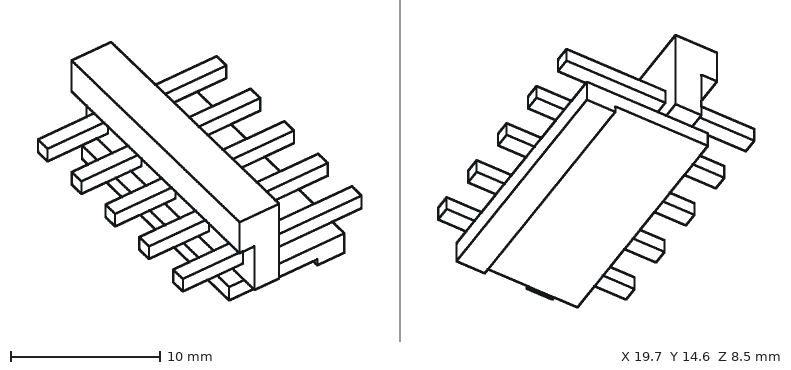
import cadquery as cq

housing_length = 19.74
overall_height = 8.5
wall_thickness = 2.01
lip_overhang = 1.22
lip_height = 2.8

plate_length = 17.3
plate_depth = 9.42
plate_thickness = 1.22
foot_depth = 2.21
foot_height = 0.53

pin_count = 5
pin_pitch = 3.97
pin_side = 1.15
pin_length = 14.6
pin_front_overhang = 3.7
pin_center_above_plate = 1.95

plate_top = foot_height + plate_thickness
wall_height = overall_height - plate_top
wall_rear = lip_overhang + wall_thickness


def block(length, depth, height, front, bottom, center_x=0.0):
    """Rectangular block centred on center_x, starting at front (Y) and bottom (Z)."""
    return (
        cq.Workplane("XY")
        .box(length, depth, height, centered=(True, False, False))
        .translate((center_x, front, bottom))
    )


def make_housing():
    wall = block(housing_length, wall_thickness, wall_height, lip_overhang, plate_top)
    lip = block(housing_length, wall_rear, lip_height, 0.0, overall_height - lip_height)
    return wall.union(lip)


def make_base():
    plate = block(plate_length, plate_depth, plate_thickness, 0.0, foot_height)
    foot = block(plate_length, foot_depth, plate_top, plate_depth - foot_depth, 0.0)
    return plate.union(foot)


def make_pin(center_x):
    pin_bottom = plate_top + pin_center_above_plate - pin_side / 2
    return block(pin_side, pin_length, pin_side, -pin_front_overhang, pin_bottom, center_x)


result = make_housing().union(make_base())
for index in range(pin_count):
    offset_from_middle = index - (pin_count - 1) / 2
    result = result.union(make_pin(offset_from_middle * pin_pitch))